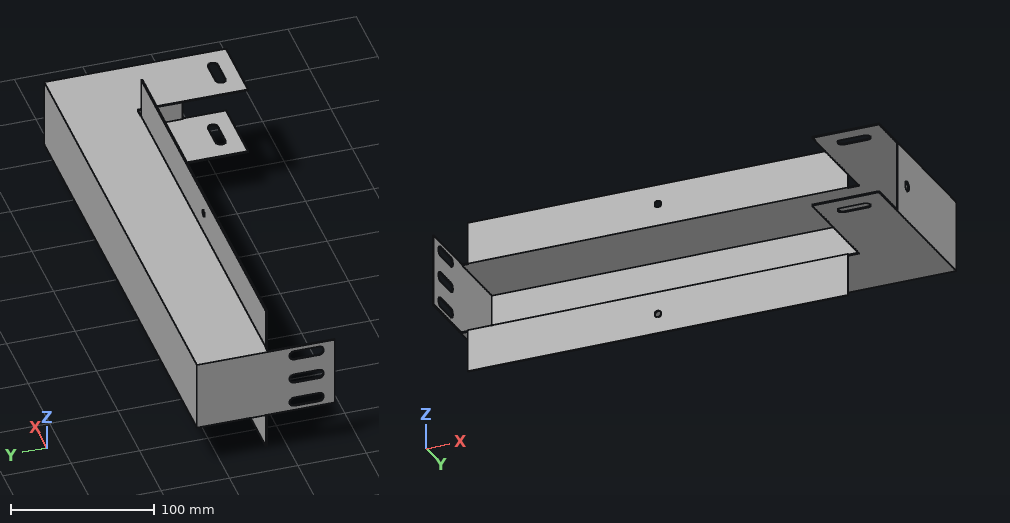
import cadquery as cq

length = 355.0
arm_reach = 133.0
overall_height = 116.0
channel_height = 54.0
thickness = 1.0

plate_depth = 52.2
arm_width = 51.0
end_wall_depth = 100.8

flange_start = 5.7
flange_length = 290.0
flange_hole_diameter = 5.0
flange_hole_height = 43.0

slot_length = 25.0
slot_width = 7.0
wall_slot_setback = 80.2
wall_slot_pitch = 20.0
arm_slot_setback = 118.2

wall_hole_diameter = 7.0
wall_hole_setback = 85.0

half_channel = channel_height / 2
half_height = overall_height / 2
arm_start = length - arm_width


def box(x, y, z, x_size, y_size, z_size):
    """Box with its minimum corner at (x, y, z)."""
    return cq.Workplane("XY").box(x_size, y_size, z_size, centered=False).translate((x, y, z))


def l_plate(z):
    """L-shaped plate with a forward arm at its right end and an adjusting slot in the arm."""
    outline = [
        (0, 0),
        (length, 0),
        (length, -arm_reach),
        (arm_start, -arm_reach),
        (arm_start, -plate_depth),
        (0, -plate_depth),
    ]
    plate = cq.Workplane("XY").polyline(outline).close().extrude(thickness)
    slot = (
        cq.Workplane("XY")
        .center(length - arm_width / 2, -arm_slot_setback)
        .slot2D(slot_length, slot_width)
        .extrude(thickness)
    )
    return plate.cut(slot).translate((0, 0, z))


def end_wall(x):
    """Plain end wall across the full channel height."""
    return box(x, -end_wall_depth, -half_channel, thickness, end_wall_depth, channel_height)


def left_wall():
    """End wall with three stacked slots."""
    slots = (
        cq.Workplane("YZ")
        .pushPoints([(-wall_slot_setback, row * wall_slot_pitch) for row in (-1, 0, 1)])
        .slot2D(slot_length, slot_width)
        .extrude(thickness)
    )
    return end_wall(0).cut(slots)


def right_wall():
    """End wall with one round hole at mid height."""
    start = length - thickness
    hole = (
        cq.Workplane("YZ", origin=(start, -wall_hole_setback, 0))
        .circle(wall_hole_diameter / 2)
        .extrude(thickness)
    )
    return end_wall(start).cut(hole)


def upper_flange():
    """Upright flange on the front edge of the upper plate, starting at the plate's underside."""
    bottom = half_channel - thickness
    front = -plate_depth - thickness
    flange = box(flange_start, front, bottom, flange_length, thickness, half_height - bottom)
    hole = (
        cq.Workplane("XZ", origin=(flange_start + flange_length / 2, -plate_depth, flange_hole_height))
        .circle(flange_hole_diameter / 2)
        .extrude(thickness)
    )
    return flange.cut(hole)


channel = (
    box(0, -thickness, -half_channel, length, thickness, channel_height)
    .union(l_plate(half_channel - thickness))
    .union(l_plate(-half_channel))
    .union(left_wall())
    .union(right_wall())
)

flange = upper_flange()
result = channel.union(flange).union(flange.mirror("XY")).clean()